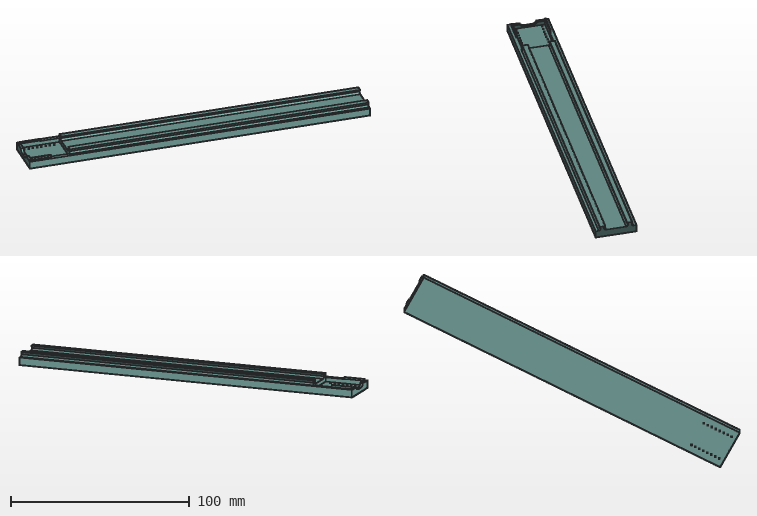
import cadquery as cq

length = 200.0
width = 23.5
base_height = 4.5
total_height = 7.0
front_y = -length / 2
back_y = length / 2

rail_front_y = -75.8
rail_foot_inner = 5.8
rail_foot_outer = 10.0
rail_waist_inner = 7.0
rail_waist_outer = 9.0
rail_top_inner = 6.2
rail_top_outer = 9.5
rail_waist_z = 5.5
foot_sagitta = 0.2

pocket_half_width = 9.5
pocket_floor_z = 2.0
end_wall = 1.5
pin_diameter = 0.5
pin_pitch = 2.5
pins_per_row = 8
pin_row_x = 7.5
first_pin_y = -97.0

notch_diameter = 5.0
notch_width = 9.8
notch_bottom_z = 2.5

lip_back_y = -87.0
lip_end_gap = 1.0
lip_height = 1.2


def block(x_min, x_max, y_min, y_max, z_min, z_max):
    size = (x_max - x_min, y_max - y_min, z_max - z_min)
    return cq.Workplane("XY").box(*size, centered=False).translate((x_min, y_min, z_min))


def make_rail(side):
    """Rail with hollow-curved feet below undercut flanks; side is -1 or 1."""
    rail = (
        cq.Workplane("XZ", origin=(0, back_y, 0))
        .moveTo(side * rail_foot_inner, base_height)
        .sagittaArc((side * rail_waist_inner, rail_waist_z), -side * foot_sagitta)
        .lineTo(side * rail_top_inner, total_height)
        .lineTo(side * rail_top_outer, total_height)
        .lineTo(side * rail_waist_outer, rail_waist_z)
        .sagittaArc((side * rail_foot_outer, base_height), -side * foot_sagitta)
        .close()
    )
    return rail.extrude(back_y - rail_front_y)


def make_lip(side):
    x_min, x_max = sorted((side * pocket_half_width, side * rail_foot_outer))
    lip_front_y = front_y + lip_end_gap
    return block(x_min, x_max, lip_front_y, lip_back_y, base_height, base_height + lip_height)


def make_pocket():
    return block(
        -pocket_half_width, pocket_half_width,
        front_y + end_wall, rail_front_y,
        pocket_floor_z, base_height,
    )


def make_pin_holes():
    """Two rows of holes running through the pocket floor."""
    centers = [
        (side * pin_row_x, first_pin_y + index * pin_pitch)
        for side in (-1, 1)
        for index in range(pins_per_row)
    ]
    return cq.Workplane("XY").pushPoints(centers).circle(pin_diameter / 2).extrude(base_height)


def make_connector_notch():
    """Round-ended opening whose lowest line sits above the pocket floor."""
    center_z = notch_bottom_z + notch_diameter / 2
    face = cq.Workplane("XZ", origin=(0, front_y + end_wall, center_z))
    return face.slot2D(notch_width, notch_diameter).extrude(end_wall)


result = block(-width / 2, width / 2, front_y, back_y, 0, base_height)
for side in (-1, 1):
    result = result.union(make_rail(side)).union(make_lip(side))
result = result.cut(make_pocket()).cut(make_pin_holes()).cut(make_connector_notch())